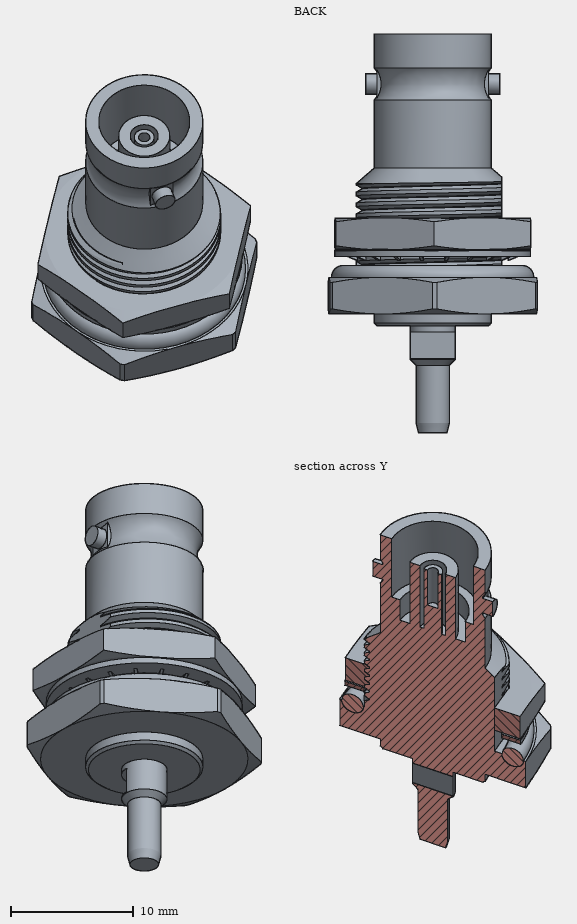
import cadquery as cq
import math

total_height = 32.7
stem_shoulder_bottom = 5.53
stem_shoulder_top = 6.02
rear_boss_bottom = 8.75
flange_bottom = 9.75
flange_top = 12.75
washer_bottom = 14.45
washer_top = 14.95
nut_bottom = 15.05
nut_top = 17.6
barrel_bottom = 21.72

barrel_radius = 4.8
thread_radius = 6.28
shoulder_angle = 41.0
thread_flat_x = -5.65
rear_boss_chamfer = 0.23
stem_radius = 1.37
stem_tip_radius = 1.18
stem_tip_length = 0.8
stem_collar_radius = 1.85
stem_notch_bottom = 6.12
stem_notch_top = 8.28

thread_length = 7.05
thread_turns = 7.9
thread_pitch = thread_length / thread_turns
thread_start = 13.77
thread_root_radius = 5.82
groove_root_width = 0.05
groove_flank_angle = 30.0
cutter_overshoot = 0.13

bayonet_groove_bottom = 27.28
bayonet_groove_top = 29.93
bayonet_groove_middle = (bayonet_groove_bottom + bayonet_groove_top) / 2
bayonet_groove_radius = 4.35
lug_pad_width = 1.95
lug_pad_reach = 4.58
lug_radius = 0.85
lug_reach = 5.5

socket_radius = 3.73
socket_step = 26.17
socket_floor_radius = 2.98
socket_floor = 23.88
insulator_radius = 2.1
insulator_top = 30.75
insulator_bore_radius = 1.15
contact_radius = 0.82
contact_top = 30.55
contact_hole_radius = 0.45
contact_hole_depth = 3.93

flange_across_flats = 17.0
flange_corner_radius = 9.7
flange_chamfer_angle = 19.0
flange_turn = 1.0
nut_across_flats = 16.0
nut_face_radius = 8.15
nut_chamfer_angle = 15.0
nut_turn = 0.7

washer_radius = 8.05
tooth_count = 20
tooth_root_radius = 7.05
tooth_drop = 0.33
tooth_width = 0.25
first_tooth_angle = 10.0

ring_section_radius = 0.98
ring_radius = 7.33


def tan_deg(angle):
    return math.tan(math.radians(angle))


def cylinder(radius, bottom, top):
    return cq.Workplane("XY").workplane(offset=bottom).circle(radius).extrude(top - bottom)


def hexagon(across_flats, bottom, top, corner_radius, face_radius, chamfer_angle, turn):
    """Hexagonal plate with two corners near the Y axis and conical chamfers on both faces."""
    corner_drop = (corner_radius - face_radius) * tan_deg(chamfer_angle)
    plate = (
        cq.Workplane("XY")
        .workplane(offset=bottom)
        .polygon(6, across_flats, circumscribed=True)
        .extrude(top - bottom)
        .rotate((0, 0, 0), (0, 0, 1), turn)
    )
    envelope = (
        cq.Workplane("XZ")
        .moveTo(0, bottom)
        .lineTo(face_radius, bottom)
        .lineTo(corner_radius, bottom + corner_drop)
        .lineTo(corner_radius, top - corner_drop)
        .lineTo(face_radius, top)
        .lineTo(0, top)
        .close()
        .revolve()
    )
    return plate.intersect(envelope)


def make_turned_blank():
    """Solid of revolution from the stem tip to the rim, its seam turned away from the thread start."""
    shoulder_bottom = barrel_bottom - (thread_radius - barrel_radius) * tan_deg(shoulder_angle)
    return (
        cq.Workplane("XZ")
        .moveTo(0, 0)
        .lineTo(stem_tip_radius, 0)
        .lineTo(stem_radius, stem_tip_length)
        .lineTo(stem_radius, stem_shoulder_bottom)
        .lineTo(stem_collar_radius, stem_shoulder_top)
        .lineTo(stem_collar_radius, rear_boss_bottom)
        .lineTo(barrel_radius - rear_boss_chamfer, rear_boss_bottom)
        .lineTo(barrel_radius, rear_boss_bottom + rear_boss_chamfer)
        .lineTo(barrel_radius, flange_bottom)
        .lineTo(thread_radius, flange_bottom)
        .lineTo(thread_radius, shoulder_bottom)
        .lineTo(barrel_radius, barrel_bottom)
        .lineTo(barrel_radius, bayonet_groove_bottom)
        .threePointArc((bayonet_groove_radius, bayonet_groove_middle), (barrel_radius, bayonet_groove_top))
        .lineTo(barrel_radius, total_height)
        .lineTo(0, total_height)
        .close()
        .revolve()
        .rotate((0, 0, 0), (0, 0, 1), 180)
    )


def make_thread_cutter():
    """Right-handed helical groove with sloping flanks."""
    outer_radius = thread_radius + cutter_overshoot
    root_half = groove_root_width / 2
    outer_half = root_half + (outer_radius - thread_root_radius) * tan_deg(groove_flank_angle)
    helix = cq.Wire.makeHelix(thread_pitch, thread_length, thread_root_radius)
    groove = (
        cq.Workplane("XZ")
        .moveTo(thread_root_radius, -root_half)
        .lineTo(outer_radius, -outer_half)
        .lineTo(outer_radius, outer_half)
        .lineTo(thread_root_radius, root_half)
        .close()
        .sweep(cq.Workplane(helix), isFrenet=True)
    )
    return groove.translate((0, 0, thread_start))


def make_thread_flat_cutter():
    """Block that planes one side of the thread flat, above the flange."""
    depth = thread_radius + thread_flat_x
    height = barrel_bottom - flange_top
    block = cq.Workplane("XY").box(depth, 2 * thread_radius, height, centered=(False, True, False))
    return block.translate((-thread_radius, 0, flange_top))


def make_stem_notch_cutter():
    """Block that removes the +Y half of the stem collar."""
    width = 2 * stem_collar_radius
    height = stem_notch_top - stem_notch_bottom
    return (
        cq.Workplane("XY")
        .workplane(offset=stem_notch_bottom)
        .rect(width, width)
        .extrude(height)
        .translate((0, width / 2, 0))
    )


def make_bayonet_lugs():
    """Flat pad across the bayonet groove on both sides, each with a round lug."""
    groove_height = bayonet_groove_top - bayonet_groove_bottom
    pads = cq.Workplane("XY").box(2 * lug_pad_reach, lug_pad_width, groove_height)
    lugs = cq.Workplane("YZ").circle(lug_radius).extrude(lug_reach, both=True)
    return pads.union(lugs).translate((0, 0, bayonet_groove_middle))


def make_socket_cutter():
    """Stepped socket around the insulator, down to its floor."""
    socket = cylinder(socket_radius, socket_step, total_height)
    socket = socket.union(cylinder(socket_floor_radius, socket_floor, socket_step))
    insulator = cylinder(insulator_radius, socket_floor, insulator_top)
    bore = cylinder(insulator_bore_radius, socket_floor, insulator_top)
    contact = cylinder(contact_radius, socket_floor, contact_top)
    contact_hole = cylinder(contact_hole_radius, contact_top - contact_hole_depth, contact_top)
    return socket.cut(insulator).union(bore).cut(contact).union(contact_hole)


def make_sealing_ring():
    return (
        cq.Workplane("XZ")
        .center(ring_radius, flange_top)
        .circle(ring_section_radius)
        .revolve(360, (-ring_radius, 0), (-ring_radius, 1))
    )


def make_housing(sealing_ring):
    flange = hexagon(
        flange_across_flats, flange_bottom, flange_top, flange_corner_radius,
        flange_across_flats / 2, flange_chamfer_angle, flange_turn,
    )
    blank = make_turned_blank()
    threaded = blank.cut(make_thread_cutter()).cut(make_thread_flat_cutter())
    return (
        threaded.union(flange)
        .union(make_bayonet_lugs())
        .cut(make_socket_cutter())
        .cut(make_stem_notch_cutter())
        .cut(sealing_ring)
    )


def make_nut(housing):
    """Chamfered hexagon whose bore fits the housing thread and its flat."""
    corner_radius = nut_across_flats / math.sqrt(3)
    nut = hexagon(
        nut_across_flats, nut_bottom, nut_top, corner_radius,
        nut_face_radius, nut_chamfer_angle, nut_turn,
    )
    return nut.cut(housing)


def make_lock_washer():
    """Flat ring with small teeth that slope down towards the thread."""
    tooth = (
        cq.Workplane("XZ")
        .moveTo(tooth_root_radius, washer_bottom)
        .lineTo(thread_radius, washer_bottom - tooth_drop)
        .lineTo(thread_radius, washer_top)
        .lineTo(tooth_root_radius, washer_top)
        .close()
        .extrude(tooth_width / 2, both=True)
    )
    washer = cylinder(washer_radius, washer_bottom, washer_top)
    for index in range(tooth_count):
        angle = first_tooth_angle + index * 360 / tooth_count
        washer = washer.union(tooth.rotate((0, 0, 0), (0, 0, 1), angle))
    return washer.cut(cylinder(thread_radius, washer_bottom - tooth_drop, washer_top))


sealing_ring = make_sealing_ring()
housing = make_housing(sealing_ring)
nut = make_nut(housing)
lock_washer = make_lock_washer()

bodies = [housing, nut, lock_washer, sealing_ring]
result = cq.Compound.makeCompound([body.solids().val() for body in bodies])